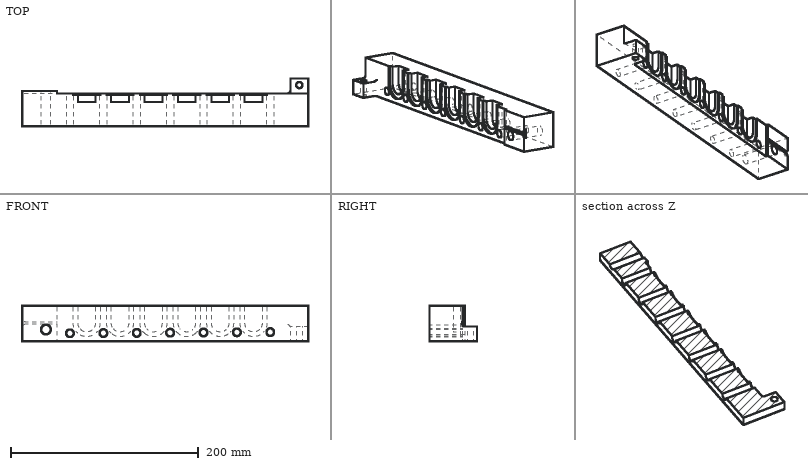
import cadquery as cq

LENGTH = 304.8
BAR_DEPTH = 37.8
BAR_HEIGHT = 38.0
TOTAL_DEPTH = 51.0

RECESS_DEPTH = 2.7
RECESS_Y = BAR_DEPTH - RECESS_DEPTH
END_BLOCK_LENGTH = 37.2

TAB_WIDTH = 19.2
TAB_HEIGHT = 16.0
TAB_X = LENGTH - TAB_WIDTH
TAB_FILLET = RECESS_DEPTH
TAB_HOLE_DIAMETER = 6.5
TAB_HOLE_Y = 44.0

HOLE_COUNT = 7
HOLE_DIAMETER = 8.0
FIRST_HOLE_X = 51.0
FIRST_HOLE_Z = 8.5
HOLE_ROW_SPAN = 213.5
HOLE_ROW_RISE = 1.2
HOLE_PITCH = HOLE_ROW_SPAN / (HOLE_COUNT - 1)

LARGE_HOLE_DIAMETER = 10.0
LARGE_HOLE_X = 25.3
LARGE_HOLE_Z = 12.5

AXIS_Z = 19.5
POCKET_WIDTH = 19.0
POCKET_DEPTH = 9.5
SHOULDER_WIDTH = 29.0
SHOULDER_DEPTH = 1.8

SLIT_HEIGHT = 2.5
SLIT_ENTRY_RADIUS = 3.7


def box(x, y, z, width, depth, height):
    """Box given by its minimum corner and its size."""
    return cq.Workplane("XY").box(width, depth, height, centered=False).translate((x, y, z))


def front_to_back_hole(x, z, diameter):
    """Cylinder along Y that passes through the whole bar."""
    return cq.Workplane("XZ", origin=(x, 0, z)).circle(diameter / 2).extrude(-BAR_DEPTH)


def open_top_pocket(x, width, depth):
    """U-shaped cutter sunk into the recess face, running out through the top."""
    radius = width / 2
    return (
        cq.Workplane("XZ", origin=(x, RECESS_Y - depth, 0))
        .moveTo(-radius, BAR_HEIGHT)
        .lineTo(-radius, AXIS_Z)
        .threePointArc((0, AXIS_Z - radius), (radius, AXIS_Z))
        .lineTo(radius, BAR_HEIGHT)
        .close()
        .extrude(-depth)
    )


def make_bar():
    bar = box(0, 0, 0, LENGTH, BAR_DEPTH, BAR_HEIGHT)
    recess_length = LENGTH - END_BLOCK_LENGTH
    return bar.cut(box(END_BLOCK_LENGTH, RECESS_Y, 0, recess_length, RECESS_DEPTH, BAR_HEIGHT))


def add_tab(body):
    """Tab blended into the recess face along its free side and its top."""
    tab = box(TAB_X, RECESS_Y, 0, TAB_WIDTH, TOTAL_DEPTH - RECESS_Y, TAB_HEIGHT)
    side_root = cq.selectors.NearestToPointSelector((TAB_X, RECESS_Y, TAB_HEIGHT / 2))
    top_root = cq.selectors.NearestToPointSelector((TAB_X + TAB_WIDTH / 2, RECESS_Y, TAB_HEIGHT))
    joined = body.union(tab).edges(side_root + top_root).fillet(TAB_FILLET)
    hole = (
        cq.Workplane("XY")
        .center(TAB_X + TAB_WIDTH / 2, TAB_HOLE_Y)
        .circle(TAB_HOLE_DIAMETER / 2)
        .extrude(TAB_HEIGHT)
    )
    return joined.cut(hole)


def cut_front_holes(body):
    body = body.cut(front_to_back_hole(LARGE_HOLE_X, LARGE_HOLE_Z, LARGE_HOLE_DIAMETER))
    rise_per_hole = HOLE_ROW_RISE / (HOLE_COUNT - 1)
    for index in range(HOLE_COUNT):
        x = FIRST_HOLE_X + index * HOLE_PITCH
        z = FIRST_HOLE_Z + index * rise_per_hole
        body = body.cut(front_to_back_hole(x, z, HOLE_DIAMETER))
    return body


def cut_pockets(body):
    for index in range(HOLE_COUNT - 1):
        x = FIRST_HOLE_X + (index + 0.5) * HOLE_PITCH
        body = body.cut(open_top_pocket(x, SHOULDER_WIDTH, SHOULDER_DEPTH))
        body = body.cut(open_top_pocket(x, POCKET_WIDTH, POCKET_DEPTH))
    return body


def cut_slit(body):
    """Slit along X whose upper and lower lips flare out to the left end face."""
    half_gap = SLIT_HEIGHT / 2
    half_mouth = half_gap + SLIT_ENTRY_RADIUS
    slit = (
        cq.Workplane("XZ", origin=(0, RECESS_Y, AXIS_Z))
        .moveTo(0, half_mouth)
        .radiusArc((SLIT_ENTRY_RADIUS, half_gap), -SLIT_ENTRY_RADIUS)
        .lineTo(END_BLOCK_LENGTH, half_gap)
        .lineTo(END_BLOCK_LENGTH, -half_gap)
        .lineTo(SLIT_ENTRY_RADIUS, -half_gap)
        .radiusArc((0, -half_mouth), -SLIT_ENTRY_RADIUS)
        .close()
        .extrude(-RECESS_DEPTH)
    )
    return body.cut(slit)


result = cut_slit(cut_pockets(cut_front_holes(add_tab(make_bar()))))